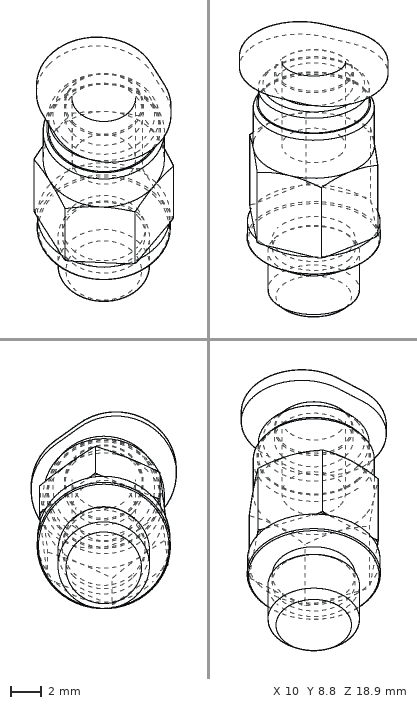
import cadquery as cq
import math

THREAD_CHAMFER_Z = 0.53
THREAD_TOP_Z = 3.57
NECK_START_Z = 3.82
COLLAR_BOTTOM_Z = 4.52
COLLAR_RIM_Z = 4.61
HEX_BOTTOM_Z = 5.93
HEX_TOP_Z = 11.87
SLEEVE_EDGE_Z = 14.85
SLEEVE_TOP_Z = 15.21
RING_EDGE_Z = 16.37
RING_TOP_Z = 16.67
FLANGE_BOTTOM_Z = 17.77
TOTAL_HEIGHT = 18.9

THREAD_TIP_RADIUS = 2.5
THREAD_RADIUS = 3.02
NECK_RADIUS = 2.74
COLLAR_RADIUS = 4.4
COLLAR_BOTTOM_RADIUS = 4.3
COLLAR_TOP_RADIUS = 4.38
BODY_RADIUS = 4.0
SLEEVE_TOP_RADIUS = 3.76
RING_RADIUS = 3.67
RING_TOP_RADIUS = 3.36
STEM_RADIUS = 2.6
STEM_CHAMFER = 0.08

HEX_CORNER_RADIUS = BODY_RADIUS / math.cos(math.radians(30))
HEX_TOP_CHAMFER_ANGLE = 30
HEX_BOTTOM_RADIUS = 4.52
HEX_BOTTOM_CHAMFER = 0.08

FLANGE_LENGTH = 10.0
FLANGE_WIDTH = 2 * BODY_RADIUS
FLANGE_FILLET = 0.3

BORE_RADIUS = 2.1
MOUTH_RADIUS = STEM_RADIUS
MOUTH_FILLET = MOUTH_RADIUS - BORE_RADIUS
BORE_BOTTOM_Z = HEX_TOP_Z


def revolve_outline(points):
    """Turn a closed (radius, height) outline around Z."""
    return cq.Workplane("XZ").polyline(points).close().revolve(360, (0, 0), (0, 1))


def make_turned_body():
    return revolve_outline([
        (0, 0),
        (THREAD_TIP_RADIUS, 0),
        (THREAD_RADIUS, THREAD_CHAMFER_Z),
        (THREAD_RADIUS, THREAD_TOP_Z),
        (NECK_RADIUS, NECK_START_Z),
        (NECK_RADIUS, COLLAR_BOTTOM_Z),
        (COLLAR_BOTTOM_RADIUS, COLLAR_BOTTOM_Z),
        (COLLAR_RADIUS, COLLAR_RIM_Z),
        (COLLAR_TOP_RADIUS, HEX_BOTTOM_Z),
        (BODY_RADIUS, HEX_BOTTOM_Z),
        (BODY_RADIUS, SLEEVE_EDGE_Z),
        (SLEEVE_TOP_RADIUS, SLEEVE_TOP_Z),
        (RING_RADIUS, SLEEVE_TOP_Z),
        (RING_RADIUS, RING_EDGE_Z),
        (RING_TOP_RADIUS, RING_TOP_Z),
        (STEM_RADIUS, RING_TOP_Z),
        (STEM_RADIUS, FLANGE_BOTTOM_Z - STEM_CHAMFER),
        (STEM_RADIUS - STEM_CHAMFER, FLANGE_BOTTOM_Z),
        (0, FLANGE_BOTTOM_Z),
    ])


def make_hexagon():
    """Hexagonal prism with its corners turned off conically at both ends."""
    prism = (
        cq.Workplane("XY", origin=(0, 0, HEX_BOTTOM_Z))
        .polygon(6, 2 * HEX_CORNER_RADIUS)
        .extrude(HEX_TOP_Z - HEX_BOTTOM_Z)
    )
    top_drop = (HEX_CORNER_RADIUS - BODY_RADIUS) * math.tan(math.radians(HEX_TOP_CHAMFER_ANGLE))
    envelope = revolve_outline([
        (0, HEX_BOTTOM_Z),
        (HEX_BOTTOM_RADIUS, HEX_BOTTOM_Z),
        (HEX_CORNER_RADIUS, HEX_BOTTOM_Z + HEX_BOTTOM_CHAMFER),
        (HEX_CORNER_RADIUS, HEX_TOP_Z - top_drop),
        (BODY_RADIUS, HEX_TOP_Z),
        (0, HEX_TOP_Z),
    ])
    return prism.intersect(envelope)


def make_flange():
    """Oblong button with a rounded upper rim."""
    return (
        cq.Workplane("XY", origin=(0, 0, FLANGE_BOTTOM_Z))
        .slot2D(FLANGE_LENGTH, FLANGE_WIDTH)
        .extrude(TOTAL_HEIGHT - FLANGE_BOTTOM_Z)
        .faces(">Z")
        .edges()
        .fillet(FLANGE_FILLET)
    )


def make_socket():
    """Bore whose mouth flares out in a quarter round."""
    arc_offset = MOUTH_FILLET * (1 - math.sqrt(0.5))
    return (
        cq.Workplane("XZ")
        .moveTo(0, BORE_BOTTOM_Z)
        .lineTo(BORE_RADIUS, BORE_BOTTOM_Z)
        .lineTo(BORE_RADIUS, TOTAL_HEIGHT - MOUTH_FILLET)
        .threePointArc(
            (BORE_RADIUS + arc_offset, TOTAL_HEIGHT - arc_offset),
            (MOUTH_RADIUS, TOTAL_HEIGHT),
        )
        .lineTo(0, TOTAL_HEIGHT)
        .close()
        .revolve(360, (0, 0), (0, 1))
    )


result = make_turned_body().union(make_hexagon()).union(make_flange()).cut(make_socket())